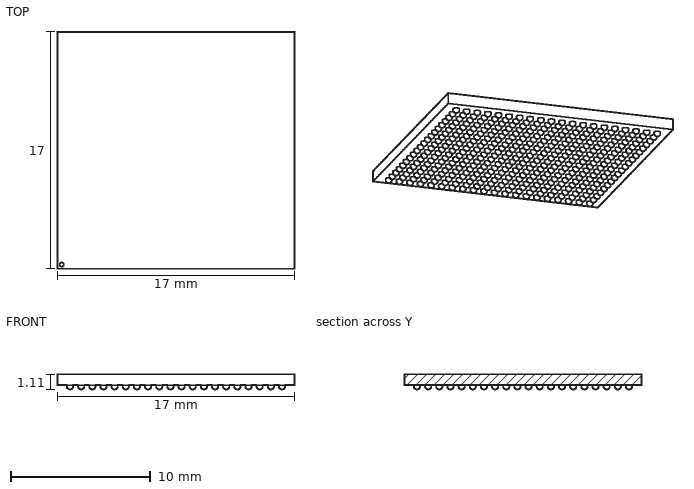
import cadquery as cq
import math

body_side = 17.0
overall_height = 1.11
body_thickness = 0.8
standoff = overall_height - body_thickness

ball_diameter = 0.47
ball_pitch = 0.8
balls_per_side = 20

mark_diameter = 0.3
mark_depth = 0.02
mark_edge_distance = 0.31


def make_body():
    """Square plate standing on the balls, whose lowest points lie at Z = 0."""
    return (
        cq.Workplane("XY")
        .workplane(offset=standoff)
        .rect(body_side, body_side)
        .extrude(body_thickness)
    )


def cut_pin_one_mark(body):
    """Sink the mark into the top face at the -X, -Y corner."""
    mark_center = mark_edge_distance - body_side / 2
    mark = (
        cq.Workplane("XY")
        .workplane(offset=overall_height)
        .center(mark_center, mark_center)
        .circle(mark_diameter / 2)
        .extrude(-mark_depth)
    )
    return body.cut(mark)


def make_ball():
    """Sphere resting on Z = 0 at the origin, cut flat at the underside of the body."""
    radius = ball_diameter / 2
    rise = standoff - radius
    flat_radius = math.sqrt(radius**2 - rise**2)
    return (
        cq.Workplane("XZ")
        .moveTo(0, 0)
        .threePointArc((-radius, radius), (-flat_radius, standoff))
        .lineTo(0, standoff)
        .close()
        .revolve(360, (0, 0, 0), (0, 1, 0))
        .val()
    )


def make_ball_grid():
    """Full square grid of balls, centered under the body."""
    ball = make_ball()
    return (
        cq.Workplane("XY")
        .rarray(ball_pitch, ball_pitch, balls_per_side, balls_per_side)
        .eachpoint(lambda place: ball.moved(place))
    )


body = cut_pin_one_mark(make_body())
result = cq.Workplane(obj=body.val().fuse(*make_ball_grid().vals()))